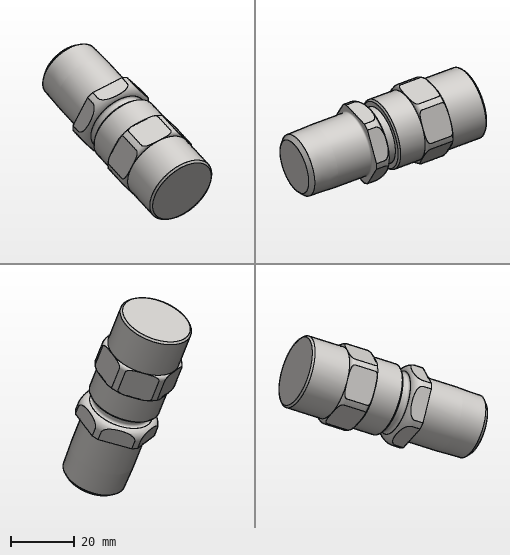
import cadquery as cq
import math


HEX_ACROSS_FLATS = 24.0
HEX_CORNER_RADIUS = 26.5 / 2

SPIGOT_RADIUS = 21.3 / 2
TAPER_ON_DIAMETER = 1 / 16
TIP_CHAMFER = 1.4
TAPER_END_X = 9.9
PLUG_HEX_START_X = 22.5
PLUG_HEX_LENGTH = 6.05
PLUG_HEX_END_X = PLUG_HEX_START_X + PLUG_HEX_LENGTH
SPIGOT_FILLET = 0.5
PLUG_HEX_ROUNDING = 3.15
NECK_RADIUS = 19.1 / 2
NECK_FILLET = 0.9

SLEEVE_RADIUS = 23.6 / 2
SLEEVE_START_X = 31.6
SLEEVE_CHAMFER = 0.6

SOCKET_RADIUS = 23.9 / 2
SOCKET_HEX_START_X = 41.2
SOCKET_HEX_LENGTH = 9.95
SOCKET_HEX_ROUNDING = HEX_CORNER_RADIUS - SOCKET_RADIUS
SOCKET_END_X = 64.2
SOCKET_CHAMFER = 0.65

QUARTER_ARC = math.sqrt(0.5)


def revolve_about_x(profile):
    """Turn a closed profile, drawn as (x, radius) points, about the X axis."""
    return profile.close().revolve(360, (0, 0, 0), (1, 0, 0))


def cylinder(start_x, end_x, radius):
    return cq.Workplane("YZ").workplane(offset=start_x).circle(radius).extrude(end_x - start_x)


def hex_prism(start_x, length):
    corner_to_corner = HEX_ACROSS_FLATS / math.cos(math.radians(30))
    return cq.Workplane("YZ").workplane(offset=start_x).polygon(6, corner_to_corner).extrude(length)


def rounded_hex(start_x, length, start_rounding, end_rounding):
    """A hexagon trimmed by a turned blank whose rim is rounded at the ends.

    A rounding of zero leaves that end square.
    """
    end_x = start_x + length
    blank = cylinder(start_x, end_x, HEX_CORNER_RADIUS)
    if start_rounding:
        blank = blank.faces("<X").edges().fillet(start_rounding)
    if end_rounding:
        blank = blank.faces(">X").edges().fillet(end_rounding)
    return hex_prism(start_x, length).intersect(blank)


def make_plug():
    taper_length = TAPER_END_X - TIP_CHAMFER
    tip_radius = SPIGOT_RADIUS - taper_length * TAPER_ON_DIAMETER / 2
    spigot_fillet_start_x = PLUG_HEX_START_X - SPIGOT_FILLET
    spigot_fillet_centre_radius = SPIGOT_RADIUS + SPIGOT_FILLET
    spigot = revolve_about_x(
        cq.Workplane("XY")
        .moveTo(0, 0)
        .lineTo(0, tip_radius - TIP_CHAMFER)
        .lineTo(TIP_CHAMFER, tip_radius)
        .lineTo(TAPER_END_X, SPIGOT_RADIUS)
        .lineTo(spigot_fillet_start_x, SPIGOT_RADIUS)
        .threePointArc(
            (
                spigot_fillet_start_x + SPIGOT_FILLET * QUARTER_ARC,
                spigot_fillet_centre_radius - SPIGOT_FILLET * QUARTER_ARC,
            ),
            (PLUG_HEX_START_X, spigot_fillet_centre_radius),
        )
        .lineTo(PLUG_HEX_START_X, 0)
    )

    hexagon = rounded_hex(PLUG_HEX_START_X, PLUG_HEX_LENGTH, 0, PLUG_HEX_ROUNDING)

    neck_fillet_end_x = PLUG_HEX_END_X + NECK_FILLET
    neck_fillet_centre_radius = NECK_RADIUS + NECK_FILLET
    rounding_centre_radius = HEX_CORNER_RADIUS - PLUG_HEX_ROUNDING
    rim_offset = neck_fillet_centre_radius - rounding_centre_radius
    rim_to_centre = math.sqrt(PLUG_HEX_ROUNDING**2 - rim_offset**2)
    rim_x = PLUG_HEX_END_X - PLUG_HEX_ROUNDING + rim_to_centre
    neck = revolve_about_x(
        cq.Workplane("XY")
        .moveTo(rim_x, 0)
        .lineTo(rim_x, neck_fillet_centre_radius)
        .lineTo(PLUG_HEX_END_X, neck_fillet_centre_radius)
        .threePointArc(
            (
                neck_fillet_end_x - NECK_FILLET * QUARTER_ARC,
                neck_fillet_centre_radius - NECK_FILLET * QUARTER_ARC,
            ),
            (neck_fillet_end_x, NECK_RADIUS),
        )
        .lineTo(SOCKET_HEX_START_X, NECK_RADIUS)
        .lineTo(SOCKET_HEX_START_X, 0)
    )
    return spigot.union(hexagon).union(neck).solids()


def make_sleeve():
    sleeve = cylinder(SLEEVE_START_X, SOCKET_HEX_START_X, SLEEVE_RADIUS)
    sleeve = sleeve.faces("<X").edges().chamfer(SLEEVE_CHAMFER)
    return sleeve.cut(cylinder(SLEEVE_START_X, SOCKET_HEX_START_X, NECK_RADIUS)).solids()


def make_socket():
    barrel = cylinder(SOCKET_HEX_START_X, SOCKET_END_X, SOCKET_RADIUS)
    barrel = barrel.faces(">X").edges().chamfer(SOCKET_CHAMFER)
    hexagon = rounded_hex(
        SOCKET_HEX_START_X, SOCKET_HEX_LENGTH, SOCKET_HEX_ROUNDING, SOCKET_HEX_ROUNDING
    )
    return barrel.union(hexagon).solids()


plug = make_plug()
sleeve = make_sleeve()
socket = make_socket()

result = cq.Compound.makeCompound([plug.val(), sleeve.val(), socket.val()])